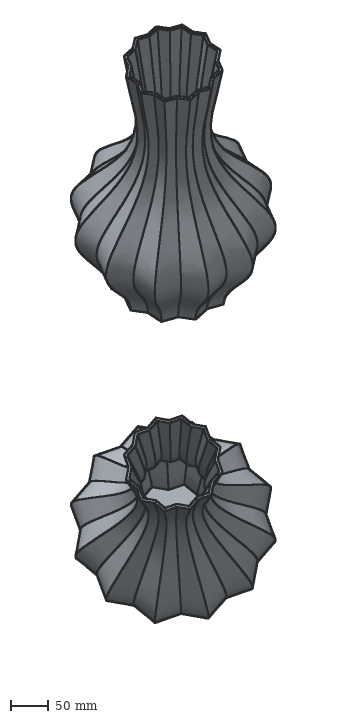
import cadquery as cq
import math

HEIGHT = 444.0
WALL = 4.0

STAR_TIPS = 12
TIP_SPACING = 360 / STAR_TIPS
TIP_ANGLE = 30.0
VALLEY_ANGLE = TIP_ANGLE - TIP_SPACING / 2
TIP_TO_SIDE = math.cos(math.radians(TIP_ANGLE))

BASE = (87.9, 0.0)
FOOT_PULL = (91.3, 97.2)
BELLY_PULL = (305.2, 171.0)
WAIST_PULL = (-35.8, 167.9)
NECK_PULL = (49.2, 282.3)
MOUTH = (66.9, HEIGHT)
RIDGE_CURVE = [BASE, FOOT_PULL, BELLY_PULL, WAIST_PULL, NECK_PULL, MOUTH]

REACH = 200.0
INNER_CURVE_SPANS = 16
LEVEL_TOLERANCE = 1e-6


def outer_side_curve():
    """Outline of a hexagon side, seen edge-on, at its distance from the axis."""
    return cq.Edge.makeBezier([cq.Vector(radius * TIP_TO_SIDE, 0, z) for radius, z in RIDGE_CURVE])


def inner_side_curve(outer_curve):
    """The outer side curve moved inward by the wall thickness, square to the curve."""
    points = []
    for index in range(INNER_CURVE_SPANS + 1):
        place = index / INNER_CURVE_SPANS
        tangent = outer_curve.tangentAt(place)
        inward = cq.Vector(-tangent.z, 0, tangent.x)
        points.append(outer_curve.positionAt(place) + inward * WALL)
    return cq.Edge.makeSpline(points)


def half_slab(side_curve):
    """Solid from the axis plane out to the side curve, extruded along the hexagon side."""
    foot = side_curve.startPoint()
    mouth = side_curve.endPoint()
    axis_foot = cq.Vector(0, 0, foot.z)
    axis_mouth = cq.Vector(0, 0, mouth.z)
    bottom = cq.Edge.makeLine(axis_foot, foot)
    top = cq.Edge.makeLine(mouth, axis_mouth)
    axis = cq.Edge.makeLine(axis_mouth, axis_foot)
    outline = cq.Wire.assembleEdges([bottom, side_curve, top, axis])
    return cq.Workplane("XZ").add(outline).toPending().extrude(REACH, both=True)


def hollow_slab():
    """Half slab emptied above the floor, leaving the side wall and the floor."""
    outer_curve = outer_side_curve()
    inner = half_slab(inner_side_curve(outer_curve))
    floor_slab = cq.Workplane("XY").rect(2 * REACH, 2 * REACH).extrude(WALL)
    return half_slab(outer_curve).cut(inner.cut(floor_slab))


def facet_sector():
    """The sector of the vase behind one facet, between the valley and the tip planes."""
    valley_y = REACH * math.tan(math.radians(VALLEY_ANGLE))
    tip_y = REACH * math.tan(math.radians(TIP_ANGLE))
    wedge = cq.Workplane("XY").polyline([(0, 0), (REACH, valley_y), (REACH, tip_y)]).close()
    return hollow_slab().intersect(wedge.extrude(HEIGHT))


def is_radial(face):
    """True for the flat faces where neighbouring sectors meet."""
    return face.geomType() == "PLANE" and abs(face.normalAt().z) < LEVEL_TOLERANCE


def vase():
    """Skin of one sector and its mirror image, repeated around the axis and sewn into a solid."""
    sector = facet_sector().val()
    skin = []
    for tip in range(STAR_TIPS):
        for piece in (sector, sector.mirror("XZ")):
            turned = piece.rotate(cq.Vector(0, 0, 0), cq.Vector(0, 0, 1), tip * TIP_SPACING)
            skin += [face for face in turned.Faces() if not is_radial(face)]
    return cq.Solid.makeSolid(cq.Shell.makeShell(skin)).clean()


result = cq.Workplane(vase())